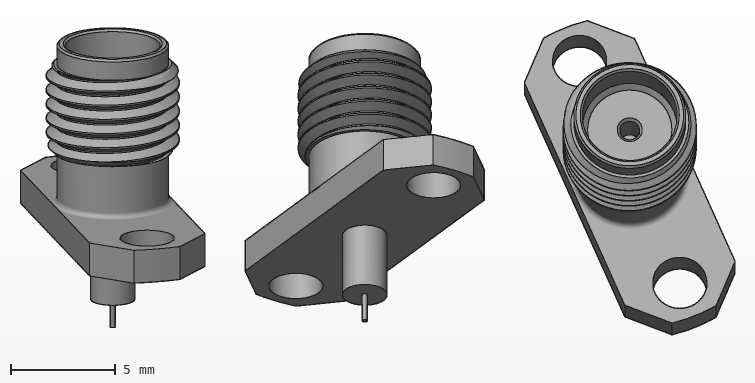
import cadquery as cq
import math


FLANGE_LENGTH = 15.86
FLANGE_WIDTH = 5.71
FLANGE_THICKNESS = 1.64
FLANGE_CORNER_CHAMFER = 1.72
MOUNT_HOLE_DIAMETER = 2.58
MOUNT_HOLE_SPACING = 12.22

BARREL_DIAMETER = 5.33
BARREL_HEIGHT = 7.89
BARREL_FILLET = 0.254
MOUTH_CHAMFER = 0.1
BARREL_TOP = FLANGE_THICKNESS + BARREL_HEIGHT

THREAD_DIAMETER = 6.35
THREAD_PITCH = 25.4 / 36
THREAD_DEPTH = 0.475
THREAD_ROOT_FLAT = 0.075
THREAD_HALF_ANGLE = math.radians(30)
THREAD_LEAD_IN = 1.01
THREAD_LENGTH = 4.3
THREAD_TOP = BARREL_TOP - THREAD_LEAD_IN
THREAD_BOTTOM = THREAD_TOP - THREAD_LENGTH
THREAD_END_CHAMFER = 0.36
THREAD_PHASE_DROP = 3.16
GROOVE_OVERCUT = 0.04

BORE_DIAMETER = 4.52
BORE_DEPTH = 1.77
BORE_FLOOR_DIAMETER = 4.01
SOCKET_MOUTH_DIAMETER = 1.19
SOCKET_DIAMETER = 0.94
SOCKET_DEPTH = 2.0

DIELECTRIC_DIAMETER = 2.13
DIELECTRIC_LENGTH = 3.19
PIN_DIAMETER = 0.25
PIN_LENGTH = 1.4


def revolve_profile(points):
    """Solid of revolution about Z from (radius, z) points."""
    return cq.Workplane("XZ").polyline(points).close().revolve(360, (0, 0, 0), (0, 1, 0))


def make_flange():
    """Plate with 45 degree corners, end faces rounded about Z, and two mounting holes."""
    end_radius = FLANGE_LENGTH / 2
    half_width = FLANGE_WIDTH / 2
    end_y = half_width - FLANGE_CORNER_CHAMFER
    end_x = math.sqrt(end_radius**2 - end_y**2)
    side_x = end_x - FLANGE_CORNER_CHAMFER
    plate = (
        cq.Workplane("XY")
        .moveTo(-side_x, -half_width)
        .lineTo(side_x, -half_width)
        .lineTo(end_x, -end_y)
        .threePointArc((end_radius, 0), (end_x, end_y))
        .lineTo(side_x, half_width)
        .lineTo(-side_x, half_width)
        .lineTo(-end_x, end_y)
        .threePointArc((-end_radius, 0), (-end_x, -end_y))
        .close()
        .extrude(FLANGE_THICKNESS)
    )
    hole_x = MOUNT_HOLE_SPACING / 2
    holes = (
        cq.Workplane("XY")
        .pushPoints([(-hole_x, 0), (hole_x, 0)])
        .circle(MOUNT_HOLE_DIAMETER / 2)
        .extrude(FLANGE_THICKNESS)
    )
    return plate.cut(holes)


def make_flanged_barrel():
    """Flange with the plain barrel on it; the barrel's base fillet runs out at the flange sides."""
    radius = BARREL_DIAMETER / 2
    barrel = cq.Workplane("XY").circle(radius).extrude(BARREL_TOP).faces(">Z").chamfer(MOUTH_CHAMFER)
    flanged_barrel = make_flange().union(barrel)
    base_edge_zone = cq.selectors.BoxSelector(
        (-radius, -radius, FLANGE_THICKNESS - BARREL_FILLET),
        (radius, radius, FLANGE_THICKNESS + BARREL_FILLET),
    )
    return flanged_barrel.edges(base_edge_zone).fillet(BARREL_FILLET)


def make_groove_turn():
    """One turn of the right-hand helical V groove, starting on the +X side."""
    root_radius = THREAD_DIAMETER / 2 - THREAD_DEPTH
    outer_radius = THREAD_DIAMETER / 2 + GROOVE_OVERCUT
    root_half = THREAD_ROOT_FLAT / 2
    outer_half = root_half + (outer_radius - root_radius) * math.tan(THREAD_HALF_ANGLE)
    helix = cq.Wire.makeHelix(THREAD_PITCH, THREAD_PITCH, root_radius)
    section = [
        (root_radius, -root_half),
        (outer_radius, -outer_half),
        (outer_radius, outer_half),
        (root_radius, root_half),
    ]
    return cq.Workplane("XZ").polyline(section).close().sweep(cq.Workplane(helix), isFrenet=True)


def make_thread():
    """Rod with 45 degree chamfered ends and a groove that runs out past both of them."""
    crest_radius = THREAD_DIAMETER / 2
    end_radius = crest_radius - THREAD_END_CHAMFER
    thread = revolve_profile([
        (0, THREAD_BOTTOM),
        (end_radius, THREAD_BOTTOM),
        (crest_radius, THREAD_BOTTOM + THREAD_END_CHAMFER),
        (crest_radius, THREAD_TOP - THREAD_END_CHAMFER),
        (end_radius, THREAD_TOP),
        (0, THREAD_TOP),
    ])
    groove_z = BARREL_TOP - THREAD_PHASE_DROP
    first_turn = math.floor((THREAD_BOTTOM - groove_z) / THREAD_PITCH) - 1
    last_turn = math.ceil((THREAD_TOP - groove_z) / THREAD_PITCH)
    groove_turn = make_groove_turn()
    for turn in range(first_turn, last_turn + 1):
        thread = thread.cut(groove_turn.translate((0, 0, groove_z + turn * THREAD_PITCH)), clean=False)
    return thread


def make_bore():
    """Chamfered mating bore with a 45 degree step at its floor and the contact socket below."""
    bore_radius = BORE_DIAMETER / 2
    floor_radius = BORE_FLOOR_DIAMETER / 2
    mouth_radius = SOCKET_MOUTH_DIAMETER / 2
    socket_radius = SOCKET_DIAMETER / 2
    step_z = BARREL_TOP - BORE_DEPTH
    floor_z = step_z - (bore_radius - floor_radius)
    return revolve_profile([
        (0, BARREL_TOP),
        (bore_radius + MOUTH_CHAMFER, BARREL_TOP),
        (bore_radius, BARREL_TOP - MOUTH_CHAMFER),
        (bore_radius, step_z),
        (floor_radius, floor_z),
        (mouth_radius, floor_z),
        (socket_radius, floor_z - (mouth_radius - socket_radius)),
        (socket_radius, floor_z - SOCKET_DEPTH),
        (0, floor_z - SOCKET_DEPTH),
    ])


def make_tail():
    """Rear dielectric cylinder below the flange with the thin pin at its end."""
    dielectric = cq.Workplane("XY").circle(DIELECTRIC_DIAMETER / 2).extrude(-DIELECTRIC_LENGTH)
    pin = cq.Workplane("XY").circle(PIN_DIAMETER / 2).extrude(-DIELECTRIC_LENGTH - PIN_LENGTH)
    return dielectric.union(pin)


body = make_flanged_barrel().union(make_thread()).union(make_tail())
result = body.cut(make_bore()).solids()